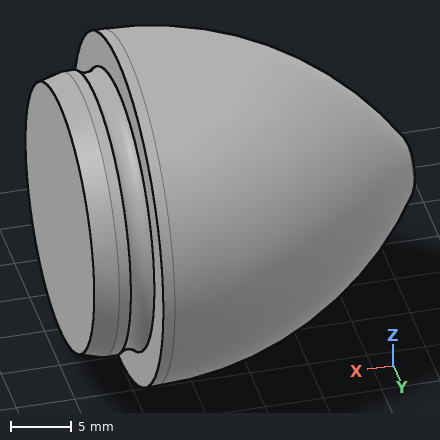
import cadquery as cq
import math

length = 30.0
body_radius = 15.0
rim_start = 24.0
rim_width = 1.0
nose_radius = 2.0
nose_fillet = 2.0

plug_radius = 12.0
groove_width = 2.0
groove_radius = 1.5
land_width = 1.0
taper_angle = 15.0

rim_end = rim_start + rim_width
groove_end = rim_end + groove_width
taper_start = groove_end + land_width

nose_rise = body_radius - nose_radius
nose_arc_radius = (rim_start**2 + nose_rise**2) / (2 * nose_rise)
nose_arc_center = body_radius - nose_arc_radius
nose_mid_angle = math.asin(rim_start / nose_arc_radius) / 2
nose_mid = (
    rim_start - nose_arc_radius * math.sin(nose_mid_angle),
    nose_arc_center + nose_arc_radius * math.cos(nose_mid_angle),
)

groove_depth = groove_radius - math.sqrt(groove_radius**2 - (groove_width / 2)**2)
groove_bottom = (rim_end + groove_width / 2, plug_radius - groove_depth)
back_radius = plug_radius - (length - taper_start) * math.tan(math.radians(taper_angle))

profile = (
    cq.Workplane("XY")
    .moveTo(0, 0)
    .lineTo(0, nose_radius)
    .threePointArc(nose_mid, (rim_start, body_radius))
    .lineTo(rim_end, body_radius)
    .lineTo(rim_end, plug_radius)
    .threePointArc(groove_bottom, (groove_end, plug_radius))
    .lineTo(taper_start, plug_radius)
    .lineTo(length, back_radius)
    .lineTo(length, 0)
    .close()
)
body = profile.revolve(360, (0, 0, 0), (1, 0, 0))

result = body.faces("<X").edges().fillet(nose_fillet)